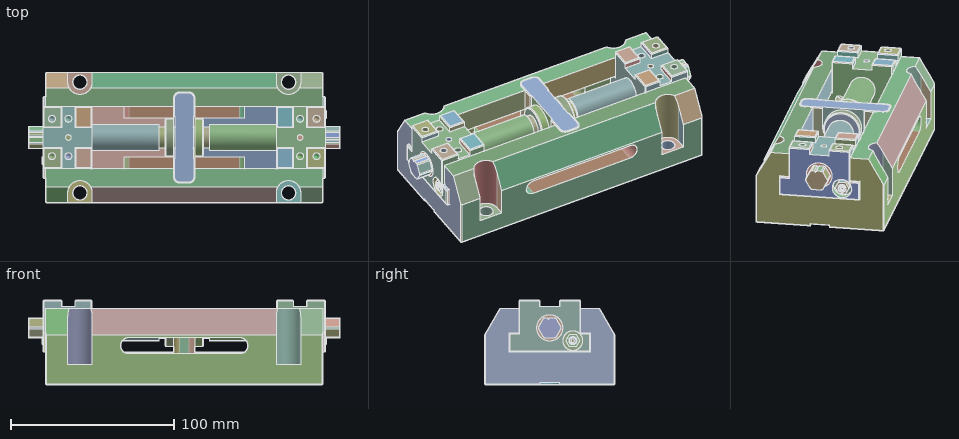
import cadquery as cq
import math

EDGE_BREAK = 0.5

BASE_LENGTH = 170.0
BASE_WIDTH = 80.0
BASE_HEIGHT = 47.0
SHOULDER_RUN = 9.5
SHOULDER_ANGLE = 60.0
SHOULDER_HEIGHT = BASE_HEIGHT - SHOULDER_RUN * math.tan(math.radians(SHOULDER_ANGLE))

GUIDE_FLOOR = 20.0
GUIDE_LIP = 31.9
GUIDE_FOOT_WIDTH = 50.0
GUIDE_NECK_WIDTH = 38.0

WINDOW_LENGTH = 78.0
WINDOW_HEIGHT = 10.0
WINDOW_BOTTOM = 19.1
WINDOW_INNER_Y = 12.0

SEAT_X = 64.0
SEAT_Y = 34.0
SEAT_DIAMETER = 15.0
SEAT_FLOOR = 12.6
BOLT_HOLE_DIAMETER = 8.5

KEYWAY_WIDTH = 12.0
KEYWAY_DEPTH = 1.5
KEYWAY_LENGTH = 16.0

JAW_OUTER_X = 86.7
JAW_LENGTH = 30.2
JAW_INNER_X = JAW_OUTER_X - JAW_LENGTH
JAW_TOP = 52.0
CROSS_SLOT_DEPTH = 3.8
CROSS_SLOT_X = 71.0
CROSS_SLOT_WIDTH = 8.0
LONG_SLOT_WIDTH = 12.0
TAPPED_DIAMETER = 4.2
TAPPED_DEPTH = 11.5
TAPPED_SPACING_X = 10.1
TAPPED_Y = 11.5
DRILL_POINT_ANGLE = 118.0
PIN_HOLE_DIAMETER = 3.5
PIN_HOLE_DEPTH = 5.0

SPINDLE_LENGTH = 191.0
SPINDLE_Z = 35.0
THREAD_DIAMETER = 16.0
THREAD_INNER_X = 15.5
NECK_DIAMETER = 13.2
COLLAR_DIAMETER = 23.0
COLLAR_OUTER_X = 11.8
COLLAR_INNER_X = 6.5
HEX_ACROSS_FLATS = 12.5
HEX_CORNER_DIAMETER = 13.8
MARK_WIDTH = 1.5
MARK_DEPTH = 1.0
MARK_Y = 0.8

BLOCK_LENGTH = 55.8
BLOCK_WIDTH = 13.2
BLOCK_CORNER = 3.8
RELIEF_WIDTH = 26.0
RELIEF_DEPTH = 1.0

SCREW_Y = 14.1
SCREW_Z = 27.1
SCREW_DIAMETER = 5.0
SCREW_TIP_X = 87.3
SCREW_LENGTH = 23.0
SOCKET_ACROSS_CORNERS = 2.3
SOCKET_DEPTH = 2.0
NUT_ACROSS_CORNERS = 8.5
NUT_THICKNESS = 3.8
NUT_POCKET_DIAMETER = 12.0
NUT_POCKET_DEPTH = 4.5


def along_x(x, y, z):
    """Workplane whose normal is +X, with local axes along Y and Z."""
    return cq.Workplane("YZ", origin=(x, y, z))


def other_end(shape):
    """The same shape turned half a turn about Z, for the opposite end of the vise."""
    return shape.rotate((0, 0, 0), (0, 0, 1), 180)


def tee_prism(x_start, length, top):
    """Prism along X with the guideway's inverted T section, up to the given height."""
    foot = GUIDE_FOOT_WIDTH / 2
    neck = GUIDE_NECK_WIDTH / 2
    outline = [
        (-foot, GUIDE_FLOOR), (foot, GUIDE_FLOOR), (foot, GUIDE_LIP), (neck, GUIDE_LIP),
        (neck, top), (-neck, top), (-neck, GUIDE_LIP), (-foot, GUIDE_LIP),
    ]
    return along_x(x_start, 0, 0).polyline(outline).close().extrude(length)


def block_envelope():
    """Upright rounded bar that fills the centre pocket of the base."""
    return (
        cq.Workplane("XY", origin=(0, 0, WINDOW_BOTTOM))
        .rect(BLOCK_WIDTH, BLOCK_LENGTH)
        .extrude(BASE_HEIGHT - WINDOW_BOTTOM)
        .edges("|Z").fillet(BLOCK_CORNER)
    )


def base_blank():
    """Solid base section with sloped shoulders and broken lower edges."""
    half = BASE_WIDTH / 2
    outline = [
        (-half, 0), (half, 0), (half, SHOULDER_HEIGHT), (half - SHOULDER_RUN, BASE_HEIGHT),
        (SHOULDER_RUN - half, BASE_HEIGHT), (-half, SHOULDER_HEIGHT),
    ]
    blank = along_x(-BASE_LENGTH / 2, 0, 0).polyline(outline).close().extrude(BASE_LENGTH)
    return blank.faces("<Z").edges().chamfer(EDGE_BREAK).edges("|Z").chamfer(EDGE_BREAK)


def side_windows():
    """Round-ended windows cut from each side, leaving a strip of floor between them."""
    depth = BASE_WIDTH / 2 - WINDOW_INNER_Y
    window = (
        cq.Workplane("XZ", origin=(0, BASE_WIDTH / 2, WINDOW_BOTTOM + WINDOW_HEIGHT / 2))
        .slot2D(WINDOW_LENGTH, WINDOW_HEIGHT)
        .extrude(depth)
    )
    return window.union(other_end(window))


def bolt_seats():
    """Four mounting holes, each under a seat that opens to the side and the top."""
    cutter = cq.Workplane("XY")
    for x in (-SEAT_X, SEAT_X):
        for side in (-1, 1):
            seat = (
                cq.Workplane("XY", origin=(x, side * SEAT_Y, SEAT_FLOOR))
                .circle(SEAT_DIAMETER / 2)
                .extrude(BASE_HEIGHT)
            )
            mouth = (
                cq.Workplane("XY", origin=(x, side * (SEAT_Y + SEAT_DIAMETER / 2), SEAT_FLOOR))
                .rect(SEAT_DIAMETER, SEAT_DIAMETER)
                .extrude(BASE_HEIGHT)
            )
            hole = (
                cq.Workplane("XY", origin=(x, side * SEAT_Y, 0))
                .circle(BOLT_HOLE_DIAMETER / 2)
                .extrude(BASE_HEIGHT)
            )
            cutter = cutter.union(seat).union(mouth).union(hole)
    return cutter


def end_keyways():
    """Shallow round-ended keyways in the underside, open at both ends of the base."""
    keyway = (
        cq.Workplane("XY", origin=(BASE_LENGTH / 2, 0, 0))
        .slot2D(2 * KEYWAY_LENGTH, KEYWAY_WIDTH)
        .extrude(KEYWAY_DEPTH)
    )
    return keyway.union(other_end(keyway))


def make_base():
    base = base_blank()
    base = base.cut(tee_prism(-BASE_LENGTH / 2, BASE_LENGTH, BASE_HEIGHT))
    base = base.cut(side_windows())
    base = base.cut(block_envelope())
    base = base.cut(bolt_seats())
    return base.cut(end_keyways())


def slot_outline(width):
    """Section of a jaw slot as seen along it, flared at the top to break its edges."""
    half = width / 2
    flare = half + EDGE_BREAK
    return [
        (-half, -CROSS_SLOT_DEPTH), (half, -CROSS_SLOT_DEPTH), (half, -EDGE_BREAK),
        (flare, 0), (-flare, 0), (-half, -EDGE_BREAK),
    ]


def jaw_slots():
    """Crossing slots that leave four raised pads on top of the jaw."""
    cross_slot = (
        cq.Workplane("XZ", origin=(CROSS_SLOT_X, 0, JAW_TOP))
        .polyline(slot_outline(CROSS_SLOT_WIDTH)).close()
        .extrude(GUIDE_NECK_WIDTH / 2, both=True)
    )
    long_slot = (
        along_x(JAW_INNER_X, 0, JAW_TOP)
        .polyline(slot_outline(LONG_SLOT_WIDTH)).close()
        .extrude(JAW_LENGTH)
    )
    return cross_slot.union(long_slot)


def tapped_hole(x, y, top):
    """Blind hole with a conical drill point, downward from the given height."""
    radius = TAPPED_DIAMETER / 2
    point = radius / math.tan(math.radians(DRILL_POINT_ANGLE / 2))
    profile = [(0, 0), (radius, 0), (radius, -TAPPED_DEPTH), (0, -TAPPED_DEPTH - point)]
    return (
        cq.Workplane("XZ", origin=(x, y, top))
        .polyline(profile).close()
        .revolve(360, (0, 0), (0, 1))
    )


def make_jaw():
    """Jaw at the +X end."""
    jaw = tee_prism(JAW_INNER_X, JAW_LENGTH, JAW_TOP)
    jaw = jaw.faces("<X or >X or >Z").edges().chamfer(EDGE_BREAK)
    jaw = jaw.cut(jaw_slots())

    slot_floor = JAW_TOP - CROSS_SLOT_DEPTH
    for y in (-TAPPED_Y, TAPPED_Y):
        jaw = jaw.cut(tapped_hole(CROSS_SLOT_X, y, slot_floor))
        jaw = jaw.cut(tapped_hole(CROSS_SLOT_X + TAPPED_SPACING_X, y, JAW_TOP))
    pin_hole = (
        cq.Workplane("XY", origin=(CROSS_SLOT_X, 0, slot_floor))
        .circle(PIN_HOLE_DIAMETER / 2)
        .extrude(-PIN_HOLE_DEPTH)
    )

    spindle_bore = along_x(JAW_INNER_X, 0, SPINDLE_Z).circle(THREAD_DIAMETER / 2).extrude(JAW_LENGTH)
    screw_bore = along_x(JAW_INNER_X, SCREW_Y, SCREW_Z).circle(SCREW_DIAMETER / 2).extrude(JAW_LENGTH)
    nut_pocket = (
        along_x(JAW_OUTER_X, SCREW_Y, SCREW_Z)
        .circle(NUT_POCKET_DIAMETER / 2)
        .extrude(-NUT_POCKET_DEPTH)
    )
    return jaw.cut(pin_hole).cut(spindle_bore).cut(screw_bore).cut(nut_pocket)


def make_spindle():
    """Two threaded lengths with a collared neck between them and a drive hexagon at each end."""
    half_length = SPINDLE_LENGTH / 2
    neck = along_x(-THREAD_INNER_X, 0, SPINDLE_Z).circle(NECK_DIAMETER / 2).extrude(2 * THREAD_INNER_X)

    thread = (
        along_x(THREAD_INNER_X, 0, SPINDLE_Z)
        .circle(THREAD_DIAMETER / 2)
        .extrude(JAW_OUTER_X - THREAD_INNER_X)
    )
    collar = (
        along_x(COLLAR_INNER_X, 0, SPINDLE_Z)
        .circle(COLLAR_DIAMETER / 2)
        .extrude(COLLAR_OUTER_X - COLLAR_INNER_X)
        .faces(">X").edges().chamfer(EDGE_BREAK)
    )
    drive_length = half_length - JAW_OUTER_X
    hexagon = (
        along_x(JAW_OUTER_X, 0, SPINDLE_Z)
        .polygon(6, HEX_ACROSS_FLATS / math.cos(math.radians(30)))
        .extrude(drive_length)
    )
    trim = along_x(JAW_OUTER_X, 0, SPINDLE_Z).circle(HEX_CORNER_DIAMETER / 2).extrude(drive_length)
    flat_z = HEX_ACROSS_FLATS / 2
    mark = (
        along_x(JAW_OUTER_X, 0, SPINDLE_Z)
        .polyline([
            (-MARK_Y - MARK_WIDTH / 2, flat_z), (-MARK_Y + MARK_WIDTH / 2, flat_z),
            (-MARK_Y, flat_z - MARK_DEPTH),
        ]).close()
        .extrude(drive_length)
    )
    drive = hexagon.intersect(trim).cut(mark)

    arm = thread.union(collar).union(drive)
    return neck.union(arm).union(other_end(arm))


def make_bearing_block():
    """Rounded bar across the base that carries the spindle neck between its collars."""
    relief = (
        along_x(BLOCK_WIDTH / 2 - RELIEF_DEPTH, 0, SPINDLE_Z)
        .circle(RELIEF_WIDTH / 2)
        .extrude(RELIEF_DEPTH)
    )
    relief_mouth = (
        along_x(BLOCK_WIDTH / 2 - RELIEF_DEPTH, 0, SPINDLE_Z + RELIEF_WIDTH / 2)
        .rect(RELIEF_WIDTH, RELIEF_WIDTH)
        .extrude(RELIEF_DEPTH)
    )
    relief = relief.union(relief_mouth)
    bore = along_x(-BLOCK_WIDTH / 2, 0, SPINDLE_Z).circle(NECK_DIAMETER / 2).extrude(BLOCK_WIDTH)
    block = block_envelope().faces(">Z").edges().chamfer(EDGE_BREAK)
    return block.cut(relief).cut(other_end(relief)).cut(bore)


def make_stop_screw():
    """Headless screw with a hexagon socket in its outer tip."""
    screw = along_x(SCREW_TIP_X, SCREW_Y, SCREW_Z).circle(SCREW_DIAMETER / 2).extrude(-SCREW_LENGTH)
    screw = screw.faces(">X").edges().chamfer(EDGE_BREAK)
    socket = (
        along_x(SCREW_TIP_X, SCREW_Y, SCREW_Z)
        .polygon(6, SOCKET_ACROSS_CORNERS)
        .extrude(-SOCKET_DEPTH)
    )
    return screw.cut(socket)


def make_lock_nut():
    """Hexagon nut on the stop screw, seated on the floor of its pocket."""
    return (
        along_x(JAW_OUTER_X - NUT_POCKET_DEPTH, SCREW_Y, SCREW_Z)
        .polygon(6, NUT_ACROSS_CORNERS)
        .circle(SCREW_DIAMETER / 2)
        .extrude(NUT_THICKNESS)
    )


base = make_base()
spindle = make_spindle()
bearing_block = make_bearing_block()

end_bodies = []
for make_body in (make_jaw, make_stop_screw, make_lock_nut):
    body = make_body()
    end_bodies.append(body.val())
    end_bodies.append(other_end(body).val())

result = cq.Compound.makeCompound([base.val(), spindle.val(), bearing_block.val(), *end_bodies])